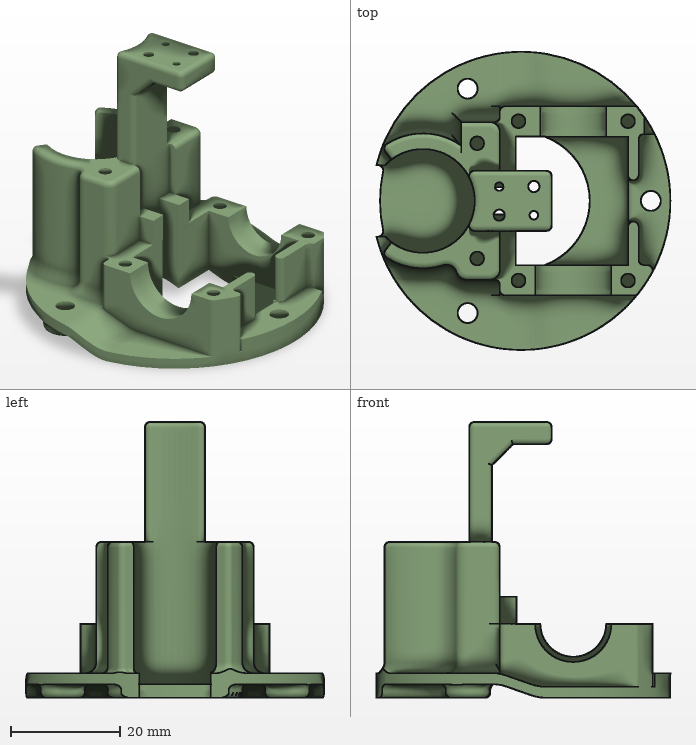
import cadquery as cq
import math

disk_radius = 27.25
sheet = 2.0
raised_bottom = 2.5
raised_top = raised_bottom + sheet
small_round = 1.0
large_round = 2 * small_round
eps = 0.025
tall = 65.4

slope_left = -4.05
slope_right = 3.1
slope_bend = 8.0

pocket_x = -18.0
pocket_radius = 9.5
tube_radius = 12.3
mouth_half_angle = 52.8
mouth_half_width = 6.55
floor_lip_radius = 25.85

tower_top = 28.5
tower_left = -10.95
tower_right = -3.9
tower_half_width = 14.4
tower_corner = 1.8
tower_hole = (-8.05, 10.5)

arm_top = 50.4
arm_thickness = 4.1
arm_tip = 5.55
arm_half_width = 5.5
column_right = -5.35
arm_brace = 3.8
arm_hole_left, arm_hole_right, arm_hole_y = -4.05, 2.3, 2.6
arm_hole_large, arm_hole_small = 2.0, 1.5

block_top = 18.5
block_right = -0.85
slot_half_width = 2.45

box_top = 13.5
box_half_width = 17.3
box_inner_left, box_inner_right = -1.0, 19.5
box_inner_half_width = 11.7
end_wall_right = 21.4
back_corner_right = 22.45
end_gap_half_width = 3.75
bore_x = 9.5
front_bore_radius, back_bore_radius = 7.0, 6.0
floor_opening_radius = 12.5
pad_half_width = 12.2
box_screw_spacing = 20.0
box_screw_y = 14.55

screw_diameter = 2.5
screw_depth = 10.0
mount_diameter = 3.6
mount_right_x = 23.65
mount_left = (-9.8, 20.5)
foot_radius = 8.0 / 2


def block(x0, x1, y0, y1, z0, z1):
    return cq.Workplane("XY").box(x1 - x0, y1 - y0, z1 - z0, centered=False).translate((x0, y0, z0))


def cylinder(x, y, radius, bottom, top):
    return cq.Workplane("XY").workplane(offset=bottom).center(x, y).circle(radius).extrude(top - bottom)


def on_circle(radius, angle):
    """Point on a circle about the pocket axis; the angle is in degrees from +X."""
    a = math.radians(angle)
    return (pocket_x + radius * math.cos(a), radius * math.sin(a))


def angle_at_x(radius, x):
    return math.degrees(math.acos((x - pocket_x) / radius))


def plate_envelope(bottom_left, bottom_right, top_left, top_right):
    """Slab along Y whose lower and upper surfaces step down from left to right."""
    profile = (
        cq.Workplane("XZ")
        .polyline([
            (-tall, bottom_left), (slope_left, bottom_left), (slope_right, bottom_right),
            (tall, bottom_right), (tall, top_right), (slope_right, top_right),
            (slope_left, top_left), (-tall, top_left),
        ])
        .close()
        .extrude(tall / 2, both=True)
    )
    return profile


def bend_edges(x, z):
    tol = 0.05
    return cq.selectors.BoxSelector((x - tol, -tall, z - tol), (x + tol, tall, z + tol))


def base_plate():
    plate = plate_envelope(raised_bottom, 0, raised_top, sheet)
    for x, z in ((slope_left, raised_bottom), (slope_left, raised_top), (slope_right, 0), (slope_right, sheet)):
        plate = plate.edges(bend_edges(x, z)).fillet(slope_bend)
    return plate


def above_plate():
    """Everything above the underside of the stepped plate."""
    space = plate_envelope(raised_bottom, 0, tall, tall)
    for x, z in ((slope_left, raised_bottom), (slope_right, 0)):
        space = space.edges(bend_edges(x, z)).fillet(slope_bend)
    return space


def tower_outline(right):
    """Front half of the tube, the S-shaped blend, and the rectangular tower up to the given X."""
    corner = (-10.0, -tower_half_width + large_round)
    reach_tube = tube_radius + large_round
    reach_corner = 2 * large_round
    dx, dy = corner[0] - pocket_x, corner[1]
    span = math.hypot(dx, dy)
    along = (span**2 + reach_tube**2 - reach_corner**2) / (2 * span)
    aside = math.sqrt(reach_tube**2 - along**2)
    hollow = (pocket_x + (along * dx + aside * dy) / span, (along * dy - aside * dx) / span)
    hollow_angle = math.degrees(math.atan2(hollow[1], hollow[0] - pocket_x))

    start_angle = mouth_half_angle - 180
    tube_end = on_circle(tube_radius, hollow_angle)
    inflection = ((hollow[0] + corner[0]) / 2, (hollow[1] + corner[1]) / 2)
    corner_end = (corner[0], -tower_half_width)

    def bulge(center, a, b):
        mx, my = (a[0] + b[0]) / 2 - center[0], (a[1] + b[1]) / 2 - center[1]
        k = large_round / math.hypot(mx, my)
        return (center[0] + k * mx, center[1] + k * my)

    return (
        cq.Workplane("XY")
        .moveTo(*on_circle(pocket_radius, start_angle))
        .lineTo(*on_circle(tube_radius, start_angle))
        .threePointArc(on_circle(tube_radius, (start_angle + hollow_angle) / 2), tube_end)
        .threePointArc(bulge(hollow, tube_end, inflection), inflection)
        .threePointArc(bulge(corner, inflection, corner_end), corner_end)
        .lineTo(right, -tower_half_width)
        .lineTo(right, tower_half_width)
        .lineTo(tower_left, tower_half_width)
        .lineTo(*on_circle(pocket_radius, angle_at_x(pocket_radius, tower_left)))
        .threePointArc(on_circle(pocket_radius, 0), on_circle(pocket_radius, start_angle))
        .close()
    )


def back_tube_outline():
    """Back half of the tube, from the mouth to just inside the tower."""
    mouth = 180 - mouth_half_angle
    inside = tower_left + small_round
    outer_end = angle_at_x(tube_radius, inside)
    inner_end = angle_at_x(pocket_radius, inside)
    return (
        cq.Workplane("XY")
        .moveTo(*on_circle(pocket_radius, mouth))
        .lineTo(*on_circle(tube_radius, mouth))
        .threePointArc(on_circle(tube_radius, (mouth + outer_end) / 2), on_circle(tube_radius, outer_end))
        .lineTo(*on_circle(pocket_radius, inner_end))
        .threePointArc(on_circle(pocket_radius, (mouth + inner_end) / 2), on_circle(pocket_radius, mouth))
        .close()
    )


def round_mouth_corner(body, side):
    x, y = on_circle(tube_radius, side * (180 - mouth_half_angle))
    corner = cq.selectors.BoxSelector((x - eps, y - eps, -tall), (x + eps, y + eps, tall))
    return body.edges(corner).fillet(small_round)


def outer_edges(body, height, sharp_x):
    """Horizontal edges at a height, without the pocket rim and any edge lying at sharp_x."""
    chosen = []
    for edge in body.edges().vals():
        middle = edge.positionAt(0.5)
        from_axis = math.hypot(middle.x - pocket_x, middle.y)
        level = abs(edge.Center().z - height) < eps and abs(middle.z - height) < eps
        on_disk = math.hypot(middle.x, middle.y) < disk_radius
        if level and on_disk and abs(from_axis - pocket_radius) > eps and abs(middle.x - sharp_x) > eps:
            chosen.append(edge)
    return body.newObject(chosen)


def base_flare(outline, side, radius):
    """Foot of a wall outline, blended into a flat slab at the level of the raised plate."""
    foot_height = 3 * large_round
    foot = round_mouth_corner(outline.extrude(foot_height), side).translate((0, 0, raised_bottom))
    slab = block(-tall / 2, box_inner_left, -tall / 2, tall / 2, raised_bottom, raised_top)
    blended = outer_edges(slab.union(foot), raised_top, box_inner_left).fillet(radius)
    tower_side = block(-tall, tower_right, -box_half_width, box_half_width, 0, tall)
    return blended.intersect(tower_side)


def front_tower():
    """Tower with the front half of the tube; its right corners are rounded above the box only."""
    upper = round_mouth_corner(tower_outline(tower_right).extrude(tower_top), -1)
    upper = upper.edges("|Z").edges(">X").fillet(tower_corner)
    upper = outer_edges(upper, tower_top, tower_left).fillet(small_round)
    lower = round_mouth_corner(tower_outline(tower_right).extrude(box_top), -1)
    return upper.union(lower).intersect(above_plate())


def back_tube():
    tube = round_mouth_corner(back_tube_outline().extrude(tower_top), 1)
    tube = outer_edges(tube, tower_top, tower_left + small_round).fillet(small_round)
    return tube.intersect(above_plate())


def bearing_box():
    """Outer shape of the box: it follows the disk rim, with a recess behind its end wall."""
    shell = block(tower_right, tall, -box_half_width, box_half_width, 0, box_top)
    shell = shell.intersect(cylinder(0, 0, disk_radius, 0, box_top))
    recess = block(end_wall_right, tall, -box_inner_half_width, pad_half_width, 0, box_top)
    back_corner = block(back_corner_right, tall, 0, box_half_width, 0, box_top)
    shell = shell.cut(recess).cut(back_corner)
    shell = shell.edges("|Z").edges("<X").fillet(small_round)
    front_corner = math.sqrt(disk_radius**2 - box_half_width**2)
    recess_corner = math.sqrt(disk_radius**2 - box_inner_half_width**2)
    for x, y in (
        (front_corner, -box_half_width),
        (recess_corner, -box_inner_half_width),
        (end_wall_right, -box_inner_half_width),
        (end_wall_right, pad_half_width),
    ):
        corner = cq.selectors.BoxSelector((x - eps, y - eps, -eps), (x + eps, y + eps, tall))
        shell = shell.edges(corner).fillet(small_round)
    return shell.intersect(above_plate())


def root_fillet(side):
    """Hollow blend between the tower side and the left face of the box."""
    reach = small_round
    x, y = tower_right - reach, side * (tower_half_width + reach)
    filler = block(x, tower_right + eps, min(y, side * tower_half_width), max(y, side * tower_half_width),
                   raised_bottom, box_top)
    return filler.cut(cylinder(x, y, reach, 0, tall))


def box_cavity():
    cavity = block(
        box_inner_left, box_inner_right, -box_inner_half_width, box_inner_half_width, sheet, tall
    )
    cavity = cavity.faces("<Z").edges(">X").fillet(small_round)
    through = block(
        box_inner_left, box_inner_right, -box_inner_half_width, box_inner_half_width, -eps, tall
    )
    return cavity.union(through.intersect(cylinder(0, 0, floor_opening_radius, -eps, tall)))


def end_gap():
    """Opening through the end wall, with rounded wall ends."""
    inner = box_inner_right
    gap = block(inner - eps, end_wall_right + eps, -end_gap_half_width, end_gap_half_width, raised_top, tall)
    half_wall = (end_wall_right - inner) / 2
    for side in (-1, 1):
        end_y = side * (end_gap_half_width + half_wall)
        notch = block(inner - eps, end_wall_right + eps, min(0, end_y), max(0, end_y), raised_top, tall)
        gap = gap.union(notch.cut(cylinder(inner + half_wall, end_y, half_wall, 0, tall)))
    sill = block(
        inner - eps, inner + small_round, -end_gap_half_width, end_gap_half_width,
        raised_top - small_round, raised_top + eps,
    )
    round_sill = (
        cq.Workplane("XZ")
        .center(inner + small_round, raised_top - small_round)
        .circle(small_round)
        .extrude(tall, both=True)
    )
    return gap.union(sill.cut(round_sill))


def bore(radius, y0, y1):
    return (
        cq.Workplane("XZ", origin=(0, y0, 0))
        .center(bore_x, box_top)
        .circle(radius)
        .extrude(y0 - y1)
    )


def rounded_foot(x, y, radius):
    """Disc under the raised plate, flared into the plate and rounded at the bottom."""
    turn = math.sqrt(0.5) * small_round
    profile = (
        cq.Workplane("XZ")
        .lineTo(radius - small_round, 0)
        .threePointArc((radius - small_round + turn, small_round - turn), (radius, small_round))
        .lineTo(radius, raised_bottom - small_round)
        .threePointArc(
            (radius + small_round - turn, raised_bottom - small_round + turn),
            (radius + small_round, raised_bottom),
        )
        .lineTo(radius + small_round, raised_bottom + eps)
        .lineTo(0, raised_bottom + eps)
        .close()
    )
    return profile.revolve(360, (0, 0, 0), (0, 1, 0)).translate((x, y, 0))


def arm():
    """Column on the tower with an overhanging braced plate, all outer edges rounded."""
    arm_bottom = arm_top - arm_thickness
    foot_level = tower_top - small_round
    side = (
        cq.Workplane("XZ")
        .polyline([
            (pocket_x, foot_level), (column_right, foot_level),
            (column_right, arm_bottom - arm_brace), (column_right + arm_brace, arm_bottom),
            (arm_tip, arm_bottom), (arm_tip, arm_top), (pocket_x, arm_top),
        ])
        .close()
        .extrude(arm_half_width, both=True)
    )
    side = side.cut(cylinder(pocket_x, 0, pocket_radius, 0, tall))
    across_brace = cq.selectors.BoxSelector(
        (column_right - eps, -tall, arm_bottom - arm_brace - eps),
        (column_right + arm_brace + eps, tall, arm_bottom + eps),
    )
    brace_bends = side.edges("|Y").edges(across_brace)
    rounded = side.edges().filter(lambda e: e.Center().z > foot_level + eps)
    rounded = rounded.filter(lambda e: all(not e.isSame(bend) for bend in brace_bends.vals()))
    side = rounded.fillet(small_round)
    for x, sign in ((arm_hole_left, 1), (arm_hole_right, -1)):
        side = side.cut(cylinder(x, sign * arm_hole_y, arm_hole_small / 2, foot_level, tall))
        side = side.cut(cylinder(x, -sign * arm_hole_y, arm_hole_large / 2, foot_level, tall))
    return side


def mouth():
    """Opening on the left of the pocket, and the set-back rim of the pocket floor."""
    opening = block(-tall, pocket_x, -mouth_half_width, mouth_half_width, raised_bottom, tall)
    rim = block(-tall, pocket_x, -mouth_half_width, mouth_half_width, -eps, tall)
    rim = rim.cut(cylinder(0, 0, floor_lip_radius, -tall, 2 * tall))
    rim = rim.edges("|Z").edges(">X").fillet(small_round)
    return opening.union(rim)


def mirrored(x, y):
    return [(x, -y), (x, y)]


pad = block(box_inner_right, tall, -pad_half_width, pad_half_width, 0, raised_top)
body = base_plate().union(pad).union(bearing_box())
body = body.union(base_flare(tower_outline(box_inner_left), -1, large_round))
body = body.union(base_flare(back_tube_outline(), 1, small_round))
body = body.union(front_tower()).union(back_tube())
for side in (-1, 1):
    body = body.union(root_fillet(side))
body = body.union(rounded_foot(pocket_x, 0, tube_radius))
for x, y in mirrored(*mount_left):
    body = body.union(rounded_foot(x, y, foot_radius))
body = body.intersect(cylinder(0, 0, disk_radius, -eps, tall))

body = body.cut(cylinder(pocket_x, 0, pocket_radius, raised_bottom, tall)).cut(mouth())
body = body.cut(box_cavity()).cut(end_gap())
body = body.cut(bore(front_bore_radius, -box_half_width - eps, -box_inner_half_width + eps))
body = body.cut(bore(back_bore_radius, box_inner_half_width - eps, box_half_width + eps))

recess = block(column_right, tower_right + eps, -arm_half_width, arm_half_width, box_top, tall)
body = body.cut(recess)
body = body.union(block(column_right, block_right, -arm_half_width, arm_half_width, box_top - eps, block_top))
body = body.cut(block(column_right, block_right + eps, -slot_half_width, slot_half_width, -eps, tall))

box_screws = [bore_x - box_screw_spacing / 2, bore_x + box_screw_spacing / 2]
for screw_x in box_screws:
    for x, y in mirrored(screw_x, box_screw_y):
        body = body.cut(cylinder(x, y, screw_diameter / 2, box_top - screw_depth, tall))
for x, y in mirrored(*tower_hole):
    body = body.cut(cylinder(x, y, screw_diameter / 2, tower_top - screw_depth, tall))
for x, y in mirrored(*mount_left) + [(mount_right_x, 0)]:
    body = body.cut(cylinder(x, y, mount_diameter / 2, -eps, tall))

result = body.union(arm())